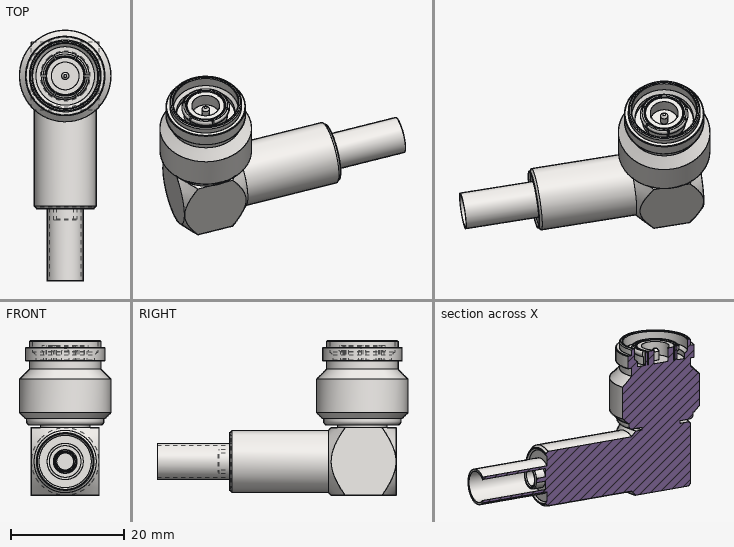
import cadquery as cq
import math


BLOCK_WIDTH = 12.0
BLOCK_HALF = BLOCK_WIDTH / 2
SLEEVE_RADIUS = 5.5
FRONT_CONE_RADIUS = SLEEVE_RADIUS
BACK_CONE_RADIUS = 5.95

TOP_Z = 21.35
NECK_RADIUS = 4.4
NUT_BOTTOM_Z = 6.4
FOOT_RADIUS = 6.85
FOOT_ROUND = 0.7
FOOT_TOP_Z = 7.57
SKIRT_RADIUS = 7.03
GRIP_RADIUS = 8.1
GRIP_BOTTOM_Z = FOOT_TOP_Z + (GRIP_RADIUS - SKIRT_RADIUS)
GRIP_TOP_Z = 14.54
RIM_RADIUS = 6.35
SHOULDER_TOP_Z = GRIP_TOP_Z + (GRIP_RADIUS - RIM_RADIUS)
RIM_CHAMFER = 0.2
BAND_RADIUS = 7.03
BAND_BOTTOM_Z = 17.72
BAND_TOP_Z = 20.16
BAND_CHAMFER = 0.12

MOUTH_RADIUS = 5.75
MOUTH_CHAMFER = 0.15
SEAT_RADIUS = 5.17
SEAT_TOP_Z = TOP_Z - 2.0
SEAT_BOTTOM_Z = SEAT_TOP_Z - (MOUTH_RADIUS - SEAT_RADIUS)
FLOOR_Z = 17.9

FINGER_INNER_RADIUS = 3.42
FINGER_STEM_RADIUS = 3.85
FINGER_BULGE_RADIUS = 4.22
FINGER_TIP_RADIUS = 3.88
FINGER_TIP_CHAMFER = 0.15
FINGER_BULGE_BOTTOM_Z = 19.4
FINGER_BULGE_Z = 19.95
FINGER_TOP_Z = 20.5
FINGER_COUNT = 6
FINGER_SLOT_WIDTH = 0.3
FINGER_ROOT_DEPTH = 1.0

INSULATOR_OUTER_RADIUS = 3.28
INSULATOR_INNER_RADIUS = 2.45
INSULATOR_TOP_Z = 20.4
PIN_RADIUS = 0.65
PIN_TIP_RADIUS = 0.25
PIN_NOSE_RADIUS = 0.5
PIN_TOP_Z = 19.95
PIN_TAPER = 0.3
PIN_SHOULDER_Z = PIN_TOP_Z - PIN_TAPER - (PIN_RADIUS - PIN_NOSE_RADIUS)

SLEEVE_END_Y = -23.48
SLEEVE_CHAMFER = 0.4
LIP_LENGTH = 0.1
LIP_RADIUS = SLEEVE_RADIUS - SLEEVE_CHAMFER
RECESS_MOUTH_RADIUS = 4.92
RECESS_FLOOR_RADIUS = 4.62
RECESS_DEPTH = RECESS_MOUTH_RADIUS - RECESS_FLOOR_RADIUS
CABLE_RADIUS = 3.2
CABLE_BORE_RADIUS = 2.8
CABLE_END_Y = -36.2
STEM_RADIUS = 2.1
STEM_BORE_RADIUS = 1.5
STEM_CHAMFER = 0.2
STEM_LENGTH = 2.0


def revolve_about_z(points):
    """Turn a closed (radius, z) outline around the Z axis."""
    return cq.Workplane("XZ").polyline(points).close().revolve(360, (0, 0), (0, 1))


def revolve_about_y(points):
    """Turn a closed (radius, y) outline around the Y axis."""
    return cq.Workplane("XY").polyline(points).close().revolve(360, (0, 0), (0, 1))


def make_block():
    """Cube whose front and back corners are turned off by 45 degree cones about Y."""
    corner_radius = BLOCK_HALF * math.sqrt(2)
    turned_envelope = revolve_about_y([
        (0, -BLOCK_HALF),
        (FRONT_CONE_RADIUS, -BLOCK_HALF),
        (corner_radius, -BLOCK_HALF + corner_radius - FRONT_CONE_RADIUS),
        (corner_radius, BLOCK_HALF - corner_radius + BACK_CONE_RADIUS),
        (BACK_CONE_RADIUS, BLOCK_HALF),
        (0, BLOCK_HALF),
    ])
    return cq.Workplane("XY").box(BLOCK_WIDTH, BLOCK_WIDTH, BLOCK_WIDTH).intersect(turned_envelope)


def make_nut_body():
    """Solid outside shape of the coupling nut and the neck it sits on."""
    round_middle = FOOT_ROUND * math.sqrt(0.5)
    foot_centre_radius = FOOT_RADIUS - FOOT_ROUND
    foot_centre_z = NUT_BOTTOM_Z + FOOT_ROUND
    return (
        cq.Workplane("XZ")
        .moveTo(0, 0)
        .lineTo(NECK_RADIUS, 0)
        .lineTo(NECK_RADIUS, NUT_BOTTOM_Z)
        .lineTo(foot_centre_radius, NUT_BOTTOM_Z)
        .threePointArc(
            (foot_centre_radius + round_middle, foot_centre_z - round_middle),
            (FOOT_RADIUS, foot_centre_z),
        )
        .lineTo(FOOT_RADIUS, FOOT_TOP_Z)
        .lineTo(SKIRT_RADIUS, FOOT_TOP_Z)
        .lineTo(GRIP_RADIUS, GRIP_BOTTOM_Z)
        .lineTo(GRIP_RADIUS, GRIP_TOP_Z)
        .lineTo(RIM_RADIUS, SHOULDER_TOP_Z)
        .lineTo(RIM_RADIUS, TOP_Z - RIM_CHAMFER)
        .lineTo(RIM_RADIUS - RIM_CHAMFER, TOP_Z)
        .lineTo(0, TOP_Z)
        .close()
        .revolve(360, (0, 0), (0, 1))
    )


def make_nut_band():
    """Raised band around the upper part of the nut."""
    return (
        cq.Workplane("XY")
        .workplane(offset=BAND_BOTTOM_Z)
        .circle(BAND_RADIUS)
        .extrude(BAND_TOP_Z - BAND_BOTTOM_Z)
        .edges()
        .chamfer(BAND_CHAMFER)
    )


def make_nut_cavity():
    """Mouth of the nut with its conical seat and flat floor."""
    return revolve_about_z([
        (0, FLOOR_Z),
        (SEAT_RADIUS, FLOOR_Z),
        (SEAT_RADIUS, SEAT_BOTTOM_Z),
        (MOUTH_RADIUS, SEAT_TOP_Z),
        (MOUTH_RADIUS, TOP_Z - MOUTH_CHAMFER),
        (MOUTH_RADIUS + MOUTH_CHAMFER, TOP_Z),
        (0, TOP_Z),
    ])


def make_fingers():
    """Slotted contact ring with a rounded bulge near its tip."""
    ring = (
        cq.Workplane("XZ")
        .moveTo(FINGER_INNER_RADIUS, FLOOR_Z)
        .lineTo(FINGER_STEM_RADIUS, FLOOR_Z)
        .lineTo(FINGER_STEM_RADIUS, FINGER_BULGE_BOTTOM_Z)
        .threePointArc((FINGER_BULGE_RADIUS, FINGER_BULGE_Z), (FINGER_TIP_RADIUS, FINGER_TOP_Z))
        .lineTo(FINGER_INNER_RADIUS + FINGER_TIP_CHAMFER, FINGER_TOP_Z)
        .lineTo(FINGER_INNER_RADIUS, FINGER_TOP_Z - FINGER_TIP_CHAMFER)
        .close()
        .revolve(360, (0, 0), (0, 1))
    )
    slot_length = 2 * SEAT_RADIUS
    for index in range(FINGER_COUNT // 2):
        slot = (
            cq.Workplane("XY")
            .workplane(offset=FLOOR_Z)
            .rect(slot_length, FINGER_SLOT_WIDTH)
            .extrude(FINGER_TOP_Z - FLOOR_Z)
            .rotate((0, 0, 0), (0, 0, 1), index * 360 / FINGER_COUNT)
        )
        ring = ring.cut(slot)
    root = (
        cq.Workplane("XY")
        .workplane(offset=FLOOR_Z - FINGER_ROOT_DEPTH)
        .circle(FINGER_STEM_RADIUS)
        .extrude(FINGER_ROOT_DEPTH)
    )
    return root.union(ring)


def make_insulator():
    """Ring of insulation around the centre pin."""
    return (
        cq.Workplane("XY")
        .workplane(offset=FLOOR_Z)
        .circle(INSULATOR_OUTER_RADIUS)
        .circle(INSULATOR_INNER_RADIUS)
        .extrude(INSULATOR_TOP_Z - FLOOR_Z)
    )


def make_pin():
    """Centre pin with a chamfered shoulder and a tapered, flat-ended nose."""
    return revolve_about_z([
        (0, FLOOR_Z),
        (PIN_RADIUS, FLOOR_Z),
        (PIN_RADIUS, PIN_SHOULDER_Z),
        (PIN_NOSE_RADIUS, PIN_TOP_Z - PIN_TAPER),
        (PIN_TIP_RADIUS, PIN_TOP_Z),
        (0, PIN_TOP_Z),
    ])


def make_sleeve():
    """Crimp sleeve with a chamfered edge, a narrow lip and a shallow recess in its end."""
    lip_start_y = SLEEVE_END_Y + LIP_LENGTH
    return revolve_about_y([
        (0, 0),
        (SLEEVE_RADIUS, 0),
        (SLEEVE_RADIUS, lip_start_y + SLEEVE_CHAMFER),
        (LIP_RADIUS, lip_start_y),
        (LIP_RADIUS, SLEEVE_END_Y),
        (RECESS_MOUTH_RADIUS, SLEEVE_END_Y),
        (RECESS_FLOOR_RADIUS, SLEEVE_END_Y + RECESS_DEPTH),
        (0, SLEEVE_END_Y + RECESS_DEPTH),
    ])


def make_cable():
    """Cable tube with a chamfered hollow stem at the bottom of its bore."""
    stem_end_y = SLEEVE_END_Y - STEM_LENGTH
    return revolve_about_y([
        (0, SLEEVE_END_Y + RECESS_DEPTH),
        (CABLE_RADIUS, SLEEVE_END_Y + RECESS_DEPTH),
        (CABLE_RADIUS, CABLE_END_Y),
        (CABLE_BORE_RADIUS, CABLE_END_Y),
        (CABLE_BORE_RADIUS, SLEEVE_END_Y),
        (STEM_RADIUS, SLEEVE_END_Y),
        (STEM_RADIUS, stem_end_y + STEM_CHAMFER),
        (STEM_RADIUS - STEM_CHAMFER, stem_end_y),
        (STEM_BORE_RADIUS + STEM_CHAMFER, stem_end_y),
        (STEM_BORE_RADIUS, stem_end_y + STEM_CHAMFER),
        (STEM_BORE_RADIUS, SLEEVE_END_Y),
        (0, SLEEVE_END_Y),
    ])


nut = make_nut_body().union(make_nut_band()).cut(make_nut_cavity())
nut = nut.union(make_fingers()).union(make_insulator()).union(make_pin())
result = make_block().union(nut).union(make_sleeve()).union(make_cable())